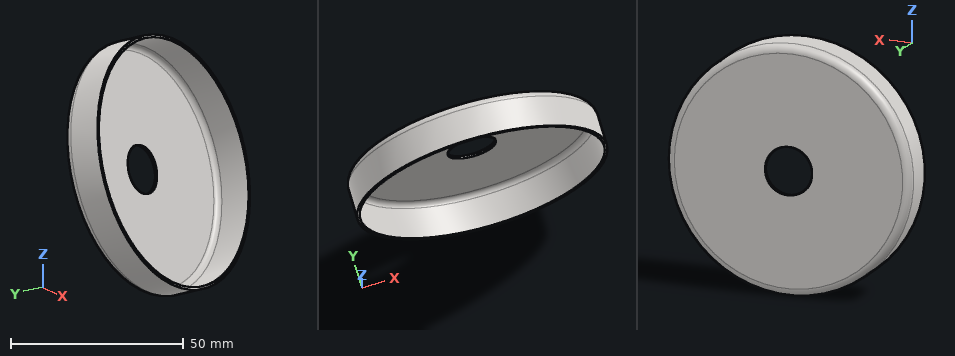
import cadquery as cq

outer_diameter = 75.6
depth = 12.0
wall = 0.8
outer_corner_radius = 2.5
inner_corner_radius = outer_corner_radius - wall
hole_diameter = 14.5


def disc(diameter, length):
    """Solid cylinder from the open rim plane (Y = 0) towards +Y."""
    return cq.Workplane("XZ").circle(diameter / 2).extrude(-length)


body = disc(outer_diameter, depth).faces(">Y").edges().fillet(outer_corner_radius)

cavity = disc(outer_diameter - 2 * wall, depth - wall).faces(">Y").edges().fillet(inner_corner_radius)

hole = disc(hole_diameter, depth)

result = body.cut(cavity).cut(hole)